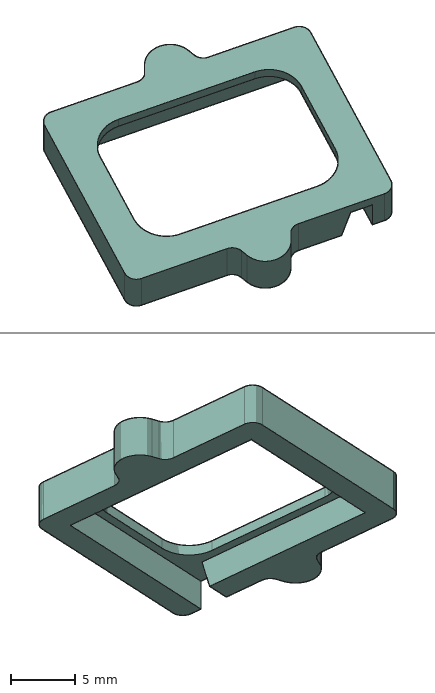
import cadquery as cq
import math

length = 22.6
span = 22.6
height = 3.5

width = 17.63
corner_radius = 1.0

rim = 2.75
window_radius = 2.75
lip_thickness = 0.9

pocket_wall = 2.01
pocket_width = width - 2 * pocket_wall
pocket_length = length - 2 * pocket_wall
pocket_depth = height - lip_thickness

outlet_bottom_width = 2.6
outlet_top_width = 1.83

ear_radius = 2.01
ear_fillet = 1.0
ear_flank_angle = 21.5


def make_frame():
    return (
        cq.Workplane("XY")
        .rect(width, length)
        .extrude(height)
        .edges("|Z")
        .fillet(corner_radius)
    )


def make_ear(side):
    """Round ear blended into the frame; side is -1 for -X and +1 for +X."""
    flank_angle = math.radians(ear_flank_angle)
    sine = math.sin(flank_angle)
    cosine = math.cos(flank_angle)
    edge_x = width / 2

    tip_end_x = span / 2 - ear_radius + ear_radius * sine
    tip_end_y = ear_radius * cosine

    fillet_x = edge_x + ear_fillet
    flank_end_x = fillet_x - ear_fillet * sine
    flank_end_y = tip_end_y + (tip_end_x - flank_end_x) * math.tan(flank_angle)
    fillet_y = flank_end_y + ear_fillet * cosine

    middle_angle = (math.pi / 2 - flank_angle) / 2
    middle_x = fillet_x - ear_fillet * math.cos(middle_angle)
    middle_y = fillet_y - ear_fillet * math.sin(middle_angle)

    return (
        cq.Workplane("XY")
        .moveTo(0, fillet_y)
        .lineTo(side * edge_x, fillet_y)
        .threePointArc((side * middle_x, middle_y), (side * flank_end_x, flank_end_y))
        .lineTo(side * tip_end_x, tip_end_y)
        .threePointArc((side * span / 2, 0), (side * tip_end_x, -tip_end_y))
        .lineTo(side * flank_end_x, -flank_end_y)
        .threePointArc((side * middle_x, -middle_y), (side * edge_x, -fillet_y))
        .lineTo(0, -fillet_y)
        .close()
        .extrude(height)
    )


def make_window():
    return (
        cq.Workplane("XY")
        .rect(width - 2 * rim, length - 2 * rim)
        .extrude(height)
        .edges("|Z")
        .fillet(window_radius)
    )


def make_pocket():
    return cq.Workplane("XY").rect(pocket_width, pocket_length).extrude(pocket_depth)


def make_outlet():
    """Passage from the pocket out through the +X wall, open at the bottom."""
    end_y = pocket_length / 2
    return (
        cq.Workplane("YZ")
        .polyline([
            (end_y, 0),
            (end_y, pocket_depth),
            (end_y - outlet_top_width, pocket_depth),
            (end_y - outlet_bottom_width, 0),
        ])
        .close()
        .extrude(width / 2)
    )


body = make_frame()
for ear_side in (-1, 1):
    body = body.union(make_ear(ear_side))

result = body.cut(make_window()).cut(make_pocket()).cut(make_outlet())